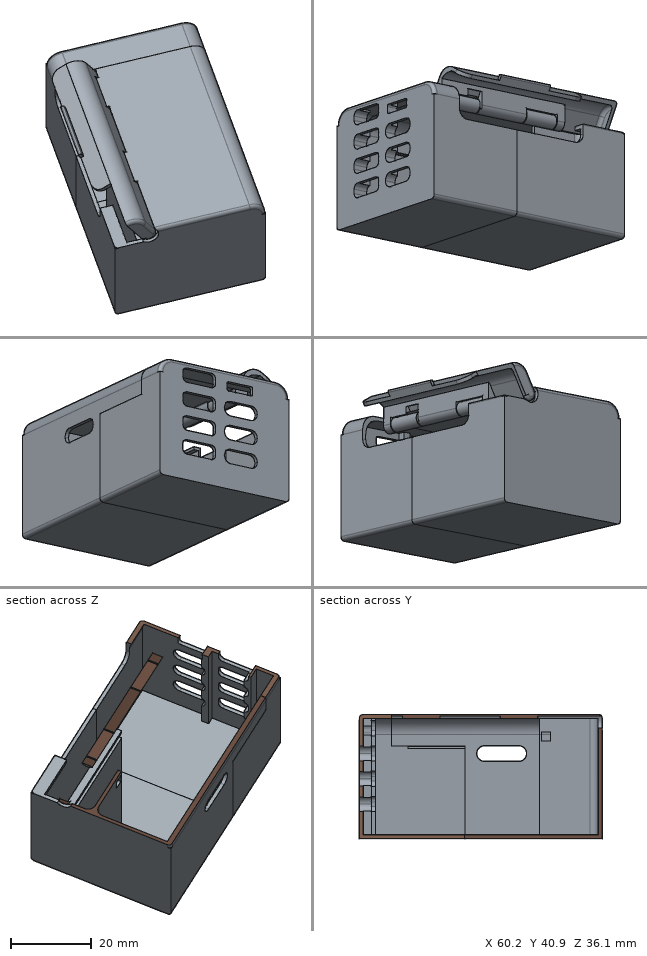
import cadquery as cq
import math

LENGTH = 60.2
DEPTH = 38.9
HEIGHT = 30.8
WALL = 1.0
CORNER_R = 4.0
EDGE_R = 0.9
BASE_R = 1.0
SHOULDER = HEIGHT - CORNER_R
INNER_SHOULDER = SHOULDER - WALL

SEAM_TOP_X = 8.0
SEAM_LOW_X = 26.2
SEAM_STEP_Z = 23.05

RIM_Z = 27.1
NOTCH_RIGHT_X = 47.1
NOTCH_FLOOR_Z = 22.0
NOTCH_R = 2.5
RIM_WIDTH = 3.3
HINGE_R = (HEIGHT - RIM_Z) / 2
HINGE_Y = 8.85
HINGE_Z = HEIGHT - HINGE_R
HINGE_CLEARANCE_R = 2.4
KNUCKLE_LENGTH = 9.35
KNUCKLE_STARTS = (10.7, 34.9)
KNUCKLE_GAP = 0.2

LID_ANGLE = 60.0
PLATE_RIGHT_X = 46.8
PLATE_BOTTOM_Z = 22.2
PLATE_R = 2.9
POCKET_X = (16.25, 20.7)
LIP_X = (19.55, 35.2)
LIP_THICKNESS = 0.85
LIP_REACH = 1.45

SLOT_LENGTH = 9.8
SLOT_HEIGHT = 3.8
LOWEST_SLOT_Z = 8.6
SLOT_PITCH = 6.25
SLOT_ROWS = 4
REAR_COLUMN_Y = 27.0
FRONT_COLUMN_Y = 14.5
REAR_SLOT_R = 1.3
FRONT_SLOT_R = 1.85
PORT_LENGTH = 7.7
PORT_HEIGHT = 2.4
PORT_Y = 14.8
PORT_Z = 26.85
PORT_R = 0.55
BACK_SLOT_LENGTH = 12.3
BACK_SLOT_X = 35.3

VENT_RIB_THICKNESS = 2.0
VENT_RIBS = ((30.7, 4.0), (18.4, 3.0))
RAIL_X = 28.4
RAIL_Y = 7.2
RAIL_THICKNESS = 1.9
RAIL_TOP_Z = 20.75
RAIL_LIP = 0.8
RAIL_GROOVE_HEIGHT = 2.05
RAIL_GROOVE_DEPTH = 1.3
DIVIDER_X = 44.65
DIVIDER_Y = 16.3
DIVIDER_ROOT_R = 2.0
WINDOW_X = 45.1
WINDOW_Z = 24.2
WINDOW_SIZE = 2.3
RIDGE_X = 12.05
RIDGE_Z = 22.4
RIDGE_SIZE = 0.4

FULL_ROUND = 0.99


def block(x_range, y_range, z_range):
    """Box between two limits along each axis."""
    (x0, x1), (y0, y1), (z0, z1) = x_range, y_range, z_range
    return cq.Workplane("XY").box(x1 - x0, y1 - y0, z1 - z0, centered=False).translate((x0, y0, z0))


def hinge_rod(radius, x_range):
    """Cylinder along the hinge axis."""
    x0, x1 = x_range
    profile = cq.Workplane("YZ", origin=(x0, 0, 0)).center(HINGE_Y, HINGE_Z).circle(radius)
    return profile.extrude(x1 - x0)


def knuckle_span(start, gap=0.0):
    """X limits of a hinge knuckle, widened by a side gap."""
    return (start - gap, start + KNUCKLE_LENGTH + gap)


def housing_outside():
    lower = block((0, LENGTH), (0, DEPTH), (0, SHOULDER))
    lower = lower.edges("|X and <Z").fillet(BASE_R)
    outline = (
        cq.Workplane("YZ")
        .moveTo(0, SHOULDER)
        .radiusArc((CORNER_R, HEIGHT), CORNER_R)
        .lineTo(DEPTH - CORNER_R, HEIGHT)
        .radiusArc((DEPTH, SHOULDER), CORNER_R)
        .close()
    )
    crown = outline.extrude(LENGTH)
    crown = crown.faces("<X or >X").edges("not <Z").fillet(EDGE_R)
    return lower.union(crown)


def vent_slot(center_y, center_z, length, height, radius):
    """Cutter for a rounded slot through the left wall and the ribs behind it."""
    slot = cq.Workplane("XY").box(2 * SEAM_TOP_X, length, height).edges("|X").fillet(radius)
    return slot.translate((0, center_y, center_z))


def cut_vents(body):
    for row in range(SLOT_ROWS):
        z = LOWEST_SLOT_Z + row * SLOT_PITCH
        body = body.cut(vent_slot(REAR_COLUMN_Y, z, SLOT_LENGTH, SLOT_HEIGHT, REAR_SLOT_R))
        if row < SLOT_ROWS - 1:
            body = body.cut(vent_slot(FRONT_COLUMN_Y, z, SLOT_LENGTH, SLOT_HEIGHT, FRONT_SLOT_R))
    return body.cut(vent_slot(PORT_Y, PORT_Z, PORT_LENGTH, PORT_HEIGHT, PORT_R))


def back_slot():
    """Cutter for the slot through the back wall, level with the third row of vents."""
    z = LOWEST_SLOT_Z + 2 * SLOT_PITCH
    slot = cq.Workplane("XY").box(BACK_SLOT_LENGTH, 2 * WALL, SLOT_HEIGHT)
    slot = slot.edges("|Y").fillet(FRONT_SLOT_R)
    return slot.translate((BACK_SLOT_X, DEPTH - WALL / 2, z))


def vent_ribs():
    ribs = cq.Workplane("XY")
    for front_y, end_x in VENT_RIBS:
        ribs = ribs.union(
            block((WALL, end_x), (front_y, front_y + VENT_RIB_THICKNESS), (WALL, HEIGHT - WALL))
        )
    return ribs


def rail():
    """Upright plate on the floor with a groove along its rear side."""
    back_y = RAIL_Y + RAIL_THICKNESS
    x_range = (RAIL_X, LENGTH - WALL)
    plate = block(x_range, (RAIL_Y, back_y), (WALL, RAIL_TOP_Z))
    groove_top = RAIL_TOP_Z - RAIL_LIP
    groove_z = (groove_top - RAIL_GROOVE_HEIGHT, groove_top)
    groove = block(x_range, (back_y - RAIL_GROOVE_DEPTH, back_y), groove_z)
    return plate.cut(groove)


def divider():
    """Upright wall that flares into the right wall and has a small window near its free end."""
    front_y = DIVIDER_Y
    back_y = DIVIDER_Y + WALL
    wall_x = LENGTH - WALL
    root_x = wall_x - DIVIDER_ROOT_R
    outline = (
        cq.Workplane("XY", origin=(0, 0, WALL))
        .moveTo(DIVIDER_X, front_y)
        .lineTo(root_x, front_y)
        .radiusArc((wall_x, front_y - DIVIDER_ROOT_R), DIVIDER_ROOT_R)
        .lineTo(wall_x, back_y + DIVIDER_ROOT_R)
        .radiusArc((root_x, back_y), DIVIDER_ROOT_R)
        .lineTo(DIVIDER_X, back_y)
        .close()
    )
    window_x = (WINDOW_X, WINDOW_X + WINDOW_SIZE)
    window = block(window_x, (front_y, back_y), (WINDOW_Z, WINDOW_Z + WINDOW_SIZE))
    return outline.extrude(HEIGHT - 2 * WALL).cut(window)


def back_ridge():
    """Small ridge along the inside of the back wall, under the step of the seam."""
    inner_y = DEPTH - WALL
    return block((RIDGE_X, SEAM_LOW_X), (inner_y - RIDGE_SIZE, inner_y), (RIDGE_Z, RIDGE_Z + RIDGE_SIZE))


def lid_opening():
    """Cutter for the corner taken by the lid, its hinge and its front plate."""
    corner = block((SEAM_TOP_X, LENGTH), (0, HINGE_Y), (RIM_Z, HEIGHT))
    hinge_room = hinge_rod(HINGE_CLEARANCE_R, (SEAM_TOP_X, LENGTH))
    notch = block((SEAM_TOP_X, NOTCH_RIGHT_X), (0, RIM_WIDTH), (NOTCH_FLOOR_Z, HEIGHT))
    notch = notch.edges("|Y and <Z").fillet(NOTCH_R)
    return corner.union(hinge_room).union(notch)


def knuckles():
    hinge = cq.Workplane("XY")
    for start in KNUCKLE_STARTS:
        span = knuckle_span(start)
        arm = block(span, (HINGE_Y, HINGE_Y + HINGE_CLEARANCE_R), (HEIGHT - WALL, HEIGHT))
        hinge = hinge.union(hinge_rod(HINGE_R, span)).union(arm)
    return hinge


def housing():
    inside = block((WALL, LENGTH - WALL), (WALL, DEPTH - WALL), (WALL, HEIGHT - WALL))
    inside = inside.edges("|X and >Z").fillet(CORNER_R)
    body = housing_outside().cut(inside).union(vent_ribs())
    body = cut_vents(body).cut(back_slot())
    body = body.union(rail()).union(divider()).union(back_ridge())
    rim = block((NOTCH_RIGHT_X, LENGTH - WALL), (WALL, RIM_WIDTH), (RIM_Z - WALL, RIM_Z))
    return body.cut(lid_opening()).union(rim).union(knuckles())


def left_region():
    upper = block((0, SEAM_TOP_X), (0, DEPTH), (0, HEIGHT))
    lower = block((0, SEAM_LOW_X), (0, DEPTH), (0, SEAM_STEP_Z))
    notch_corner = block((0, SEAM_LOW_X), (0, WALL), (0, SHOULDER))
    return upper.union(lower).union(notch_corner)


def lid_outside():
    """Closed corner of the box with the hinge barrel, rounded at the right end."""
    corner = block((SEAM_TOP_X, LENGTH), (0, HINGE_Y), (SHOULDER, HEIGHT))
    corner = corner.edges("|X and >Z and <Y").fillet(CORNER_R * FULL_ROUND)
    corner = corner.faces(">X").edges("not (<Z or >Y)").fillet(EDGE_R)
    corner = corner.cut(block((SEAM_TOP_X, LENGTH), (0, HINGE_Y), (SHOULDER, RIM_Z)))
    barrel = hinge_rod(HINGE_R, (SEAM_TOP_X, LENGTH)).faces(">X").edges().fillet(EDGE_R)
    return corner.union(barrel)


def lid_room():
    """Cutter for the space under the roof of the lid, up to its right end wall."""
    profile = (
        cq.Workplane("YZ", origin=(SEAM_TOP_X, 0, 0))
        .moveTo(WALL, PLATE_BOTTOM_Z)
        .lineTo(WALL, INNER_SHOULDER)
        .radiusArc((WALL + CORNER_R, HEIGHT - WALL), CORNER_R)
        .lineTo(HINGE_Y + HINGE_R, HEIGHT - WALL)
        .lineTo(HINGE_Y + HINGE_R, PLATE_BOTTOM_Z)
        .close()
    )
    room = profile.extrude(LENGTH - WALL - SEAM_TOP_X)
    return room.faces(">X").edges("not (<Z or >Y)").fillet(WALL)


def hinge_wedge():
    """Barrel and the sloping thickening that joins it to the roof, behind the front plate."""
    slope = math.radians(90 - LID_ANGLE)
    foot_y = HINGE_Y - HINGE_R * math.sin(slope)
    foot_z = HINGE_Z - HINGE_R * math.cos(slope)
    roof_z = HEIGHT - WALL
    wedge = (
        cq.Workplane("YZ", origin=(SEAM_TOP_X, 0, 0))
        .moveTo(foot_y, foot_z)
        .lineTo(foot_y - (roof_z - foot_z) / math.tan(slope), roof_z)
        .lineTo(HINGE_Y, roof_z)
        .lineTo(HINGE_Y, HINGE_Z)
        .close()
        .extrude(PLATE_RIGHT_X - SEAM_TOP_X)
    )
    return wedge.union(hinge_rod(HINGE_R, (SEAM_TOP_X, PLATE_RIGHT_X)))


def front_plate():
    plate = block((SEAM_TOP_X, PLATE_RIGHT_X), (0, WALL), (PLATE_BOTTOM_Z, RIM_Z))
    plate = plate.edges("|Y and <Z").fillet(PLATE_R)
    lip_z = (PLATE_BOTTOM_Z, PLATE_BOTTOM_Z + LIP_THICKNESS)
    lip = block(LIP_X, (-LIP_REACH, WALL), lip_z)
    lip = lip.edges("|X and <Y").fillet(LIP_THICKNESS * FULL_ROUND / 2)
    return plate.union(lip)


def lid():
    body = lid_outside().cut(lid_room()).union(hinge_wedge()).union(front_plate())
    pocket = block(POCKET_X, (CORNER_R + WALL, HINGE_Y), (RIM_Z, HEIGHT - WALL))
    body = body.cut(pocket)
    for start in KNUCKLE_STARTS:
        body = body.cut(hinge_rod(HINGE_CLEARANCE_R, knuckle_span(start, KNUCKLE_GAP)))
    axis_start = (0, HINGE_Y, HINGE_Z)
    axis_end = (1, HINGE_Y, HINGE_Z)
    return body.rotate(axis_start, axis_end, -LID_ANGLE)


whole_housing = housing()
left_half = whole_housing.intersect(left_region())
right_half = whole_housing.cut(left_region())
open_lid = lid()

result = cq.Compound.makeCompound([left_half.val(), right_half.val(), open_lid.val()])